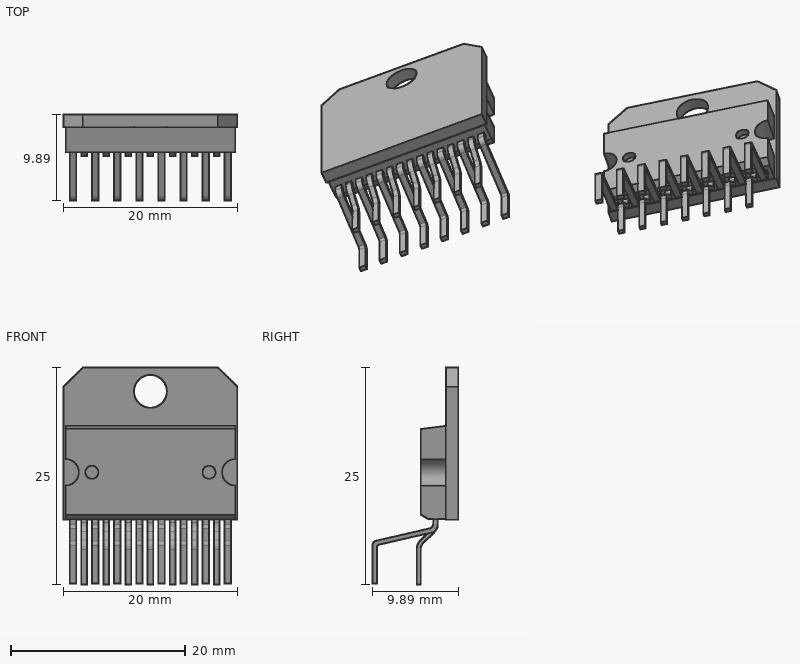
import cadquery as cq
import math


plate_width = 20.0
plate_height = 17.5
plate_thickness = 1.45
corner_cut_x = 2.25
corner_cut_z = 2.2
mount_hole_diameter = 3.75
mount_hole_from_top = 2.75

body_width = 19.5
body_front = 4.35
body_bottom = 0.08
body_top_at_plate = 10.8
body_top_at_front = 10.43
bottom_cut_depth = 0.85
bottom_cut_height = 0.52
feature_height = 5.45
notch_radius = 1.52
mark_diameter = 1.5
mark_spacing = 13.46
mark_depth = 0.8

lead_count = 15
lead_pitch = 1.27
lead_back = 2.38
lead_embed = 0.5

long_width = 0.77
long_thickness = 0.54
long_front = 9.89
long_tip = -7.33
long_slope = math.radians(13.0)
long_slope_thickness = 0.54
long_bend_top = -0.89
long_upper_front_radius = 0.48
long_upper_back_radius = 0.85
long_lower_front_radius = 0.55
long_lower_back_radius = 0.3

short_width = 0.68
short_thickness = 0.48
short_front = 4.81
short_tip = -7.45
short_slope = math.radians(43)
short_slope_thickness = 0.47
short_bend_top = -0.92
short_upper_front_radius = 1.4
short_lower_front_radius = 1.48
short_lower_back_radius = 1.1
short_upper_back_radius = 1.9


def rounded_outline(corners):
    """Closed YZ outline from (y, z, radius) corners; a zero radius leaves the corner sharp."""
    count = len(corners)
    start_y, start_z, _ = corners[0]
    outline = cq.Workplane("YZ").moveTo(start_y, start_z)
    for index in range(1, count):
        y, z, radius = corners[index]
        if radius == 0:
            outline = outline.lineTo(y, z)
            continue
        corner = cq.Vector(y, z)
        before = (cq.Vector(*corners[index - 1][:2]) - corner).normalized()
        after = (cq.Vector(*corners[(index + 1) % count][:2]) - corner).normalized()
        half_angle = before.getAngle(after) / 2
        setback = radius / math.tan(half_angle)
        apex_distance = radius / math.sin(half_angle) - radius
        arc_start = corner + before * setback
        arc_middle = corner + (before + after).normalized() * apex_distance
        arc_end = corner + after * setback
        outline = outline.lineTo(arc_start.x, arc_start.y)
        outline = outline.threePointArc((arc_middle.x, arc_middle.y), (arc_end.x, arc_end.y))
    return outline.close()


def bent_lead(width, thickness, slope_thickness, front, tip, slope, bend_top, radii):
    """Lead leaving the body downwards, sloping forwards, then dropping straight to its tip."""
    upper_front_radius, lower_front_radius, lower_back_radius, upper_back_radius = radii
    root_z = body_bottom + lead_embed
    root_back_y = -lead_back
    root_front_y = -lead_back - thickness
    tip_front_y = -front
    tip_back_y = -front + thickness
    fall = math.tan(slope)
    slope_drop = slope_thickness / math.cos(slope)

    def slope_front_z(y):
        return bend_top - (root_front_y - y) * fall

    def slope_back_z(y):
        return slope_front_z(y) - slope_drop

    corners = [
        (root_front_y, root_z, 0),
        (root_front_y, bend_top, upper_front_radius),
        (tip_front_y, slope_front_z(tip_front_y), lower_front_radius),
        (tip_front_y, tip, 0),
        (tip_back_y, tip, 0),
        (tip_back_y, slope_back_z(tip_back_y), lower_back_radius),
        (root_back_y, slope_back_z(root_back_y), upper_back_radius),
        (root_back_y, root_z, 0),
    ]
    return rounded_outline(corners).extrude(width / 2, both=True)


def make_plate():
    half_width = plate_width / 2
    plate = (
        cq.Workplane("XZ")
        .moveTo(-half_width, 0)
        .lineTo(half_width, 0)
        .lineTo(half_width, plate_height - corner_cut_z)
        .lineTo(half_width - corner_cut_x, plate_height)
        .lineTo(-half_width + corner_cut_x, plate_height)
        .lineTo(-half_width, plate_height - corner_cut_z)
        .close()
        .extrude(plate_thickness)
    )
    hole = (
        cq.Workplane("XZ")
        .center(0, plate_height - mount_hole_from_top)
        .circle(mount_hole_diameter / 2)
        .extrude(plate_thickness)
    )
    return plate.cut(hole)


def make_body():
    body = (
        cq.Workplane("YZ")
        .moveTo(-plate_thickness, body_bottom)
        .lineTo(-plate_thickness, body_top_at_plate)
        .lineTo(-body_front, body_top_at_front)
        .lineTo(-body_front, body_bottom + bottom_cut_height)
        .lineTo(-body_front + bottom_cut_depth, body_bottom)
        .close()
        .extrude(body_width / 2, both=True)
    )
    side_notches = (
        cq.Workplane("XZ", origin=(0, -plate_thickness, feature_height))
        .pushPoints([(-body_width / 2, 0), (body_width / 2, 0)])
        .circle(notch_radius)
        .extrude(body_front - plate_thickness)
    )
    ejector_marks = (
        cq.Workplane("XZ", origin=(0, -body_front + mark_depth, feature_height))
        .pushPoints([(-mark_spacing / 2, 0), (mark_spacing / 2, 0)])
        .circle(mark_diameter / 2)
        .extrude(mark_depth)
    )
    return body.cut(side_notches).cut(ejector_marks)


def make_leads():
    long_radii = (
        long_upper_front_radius, long_lower_front_radius,
        long_lower_back_radius, long_upper_back_radius,
    )
    long_lead = bent_lead(
        long_width, long_thickness, long_slope_thickness, long_front, long_tip,
        long_slope, long_bend_top, long_radii,
    )
    short_radii = (
        short_upper_front_radius, short_lower_front_radius,
        short_lower_back_radius, short_upper_back_radius,
    )
    short_lead = bent_lead(
        short_width, short_thickness, short_slope_thickness, short_front, short_tip,
        short_slope, short_bend_top, short_radii,
    )
    leads = []
    for index in range(lead_count):
        lead = long_lead if index % 2 == 0 else short_lead
        x = (index - (lead_count - 1) / 2) * lead_pitch
        leads.append(lead.translate((x, 0, 0)))
    return leads


result = make_plate().union(make_body())
for lead in make_leads():
    result = result.union(lead)